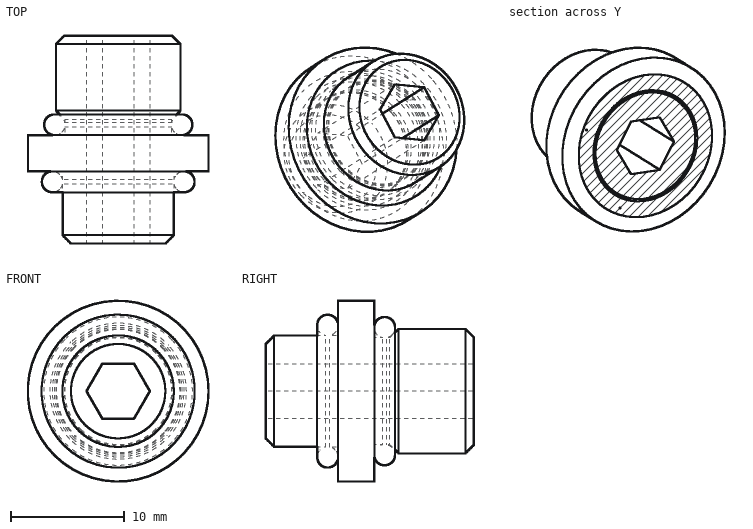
import cadquery as cq
import math

total_length = 18.26
front_length = 6.34
flange_thickness = 3.2
flange_diameter = 15.89
front_diameter = 9.79
back_diameter = 10.95
end_chamfer = 0.75
ring_section = 1.85
back_ring_outer_diameter = 13.04
back_land_gap = 2.14
ring_seat_depth = 0.02
hex_across_flats = 4.8

front_y = -total_length / 2
flange_front_y = front_y + front_length
flange_back_y = flange_front_y + flange_thickness
back_land_y = flange_back_y + back_land_gap
back_y = total_length / 2

front_radius = front_diameter / 2
back_radius = back_diameter / 2
flange_radius = flange_diameter / 2
ring_radius = ring_section / 2
front_ring_center_radius = front_radius + ring_radius - ring_seat_depth
back_ring_center_radius = back_ring_outer_diameter / 2 - ring_radius
neck_radius = back_ring_center_radius - ring_radius + ring_seat_depth
relief_height = back_radius - neck_radius


def turned_body():
    """Stepped plug with a flange and a neck that seats the back ring."""
    outline = [
        (0, front_y),
        (front_radius - end_chamfer, front_y),
        (front_radius, front_y + end_chamfer),
        (front_radius, flange_front_y),
        (flange_radius, flange_front_y),
        (flange_radius, flange_back_y),
        (neck_radius, flange_back_y),
        (neck_radius, back_land_y - relief_height),
        (back_radius, back_land_y),
        (back_radius, back_y - end_chamfer),
        (back_radius - end_chamfer, back_y),
        (0, back_y),
    ]
    return cq.Workplane("XY").polyline(outline).close().revolve(360, (0, 0), (0, 1))


def seal_ring(center_radius, center_y):
    """Round-section ring about the Y axis."""
    section = cq.Workplane("XY").center(center_radius, center_y).circle(ring_radius)
    return section.revolve(360, (-center_radius, 0), (-center_radius, 1))


def hex_socket():
    """Hexagonal through hole with two corners on the X direction."""
    across_corners = hex_across_flats / math.cos(math.pi / 6)
    return (
        cq.Workplane("XZ", origin=(0, back_y, 0))
        .polygon(6, across_corners)
        .extrude(total_length)
    )


front_ring = seal_ring(front_ring_center_radius, flange_front_y - ring_radius + ring_seat_depth)
back_ring = seal_ring(back_ring_center_radius, flange_back_y + ring_radius - ring_seat_depth)

result = turned_body().union(front_ring).union(back_ring).cut(hex_socket())